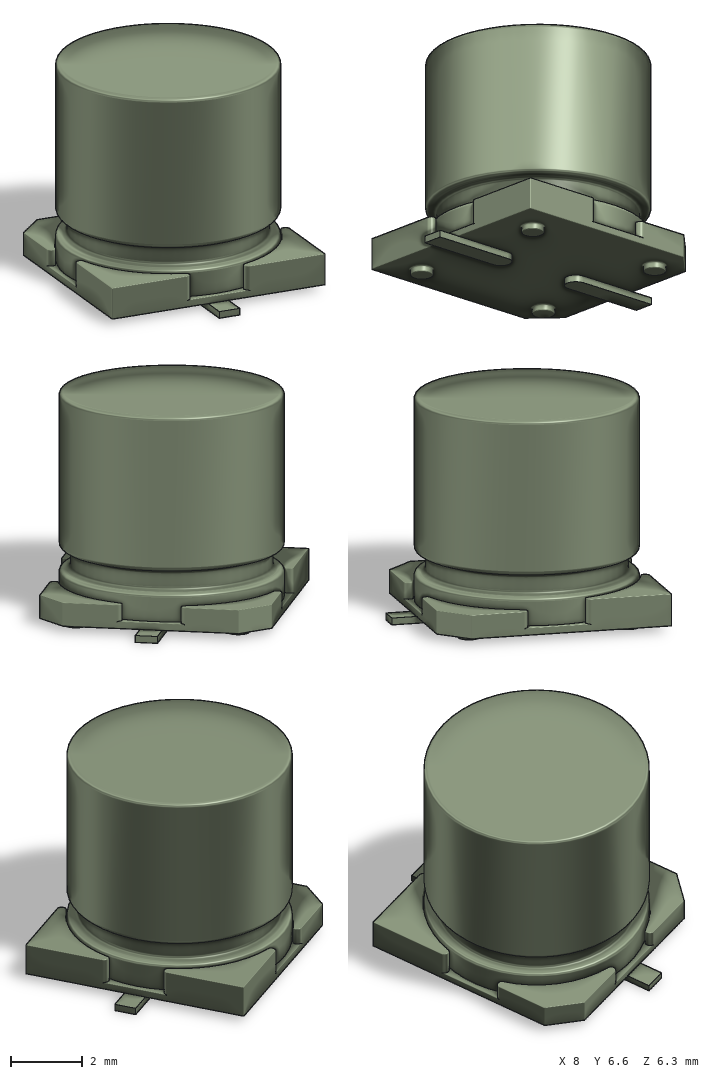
import cadquery as cq
import math

lead_span = 8.0
base_width = 6.6
total_height = 6.3

standoff = 0.2
lead_width = 0.63
lead_inner_end = 1.1
pin_diameter = 0.63
pin_offset = 2.3
pin_edge_round = 0.03
pin_root_round = 0.05

corner_chamfer = 0.8
slot_floor_height = 0.22
low_corner_height = 0.69
high_corner_height = 0.93
slot_width = 1.68
bore_radius = 3.18
tip_outer_round = 0.14
tip_inner_round = 0.1
base_edge_round = 0.02
tolerance = 0.001

can_diameter = 6.3
neck_diameter = 5.67
can_edge_round = 0.12
foot_top = 1.22
neck_height = 0.38

half_width = base_width / 2
can_radius = can_diameter / 2
neck_radius = neck_diameter / 2
neck_bottom = foot_top + can_edge_round


def base_outline(height):
    """Square block with both -X corners cut off and its side and bottom edges rounded."""
    block = cq.Workplane("XY").workplane(offset=standoff).rect(base_width, base_width).extrude(height)
    block = block.edges("|Z and <X").chamfer(corner_chamfer)
    return block.edges("not >Z").fillet(base_edge_round)


def tip_edges(x_side, y_side):
    """Upright edges of a corner wall that stand on its two slot faces."""
    upright = cq.selectors.ParallelDirSelector(cq.Vector(0, 0, 1))
    x_slot = cq.selectors.CenterNthSelector(cq.Vector(x_side, 0, 0), 0)
    y_slot = cq.selectors.CenterNthSelector(cq.Vector(0, y_side, 0), 0)
    return cq.selectors.AndSelector(upright, cq.selectors.SumSelector(x_slot, y_slot))


def is_on_bore(edge):
    """True for an upright edge on the can bore."""
    centre = edge.Center()
    return math.isclose(math.hypot(centre.x, centre.y), bore_radius, abs_tol=tolerance)


def is_on_outer_face(edge):
    """True for an upright edge on one of the four outer faces of the base."""
    centre = edge.Center()
    return math.isclose(max(abs(centre.x), abs(centre.y)), half_width, abs_tol=tolerance)


def corner_block(x_side, y_side, height):
    """One corner wall, cut by the can bore and by the slots on both sides of it."""
    block = base_outline(height)
    slot = slot_width / 2
    quadrant = (
        cq.Workplane("XY")
        .workplane(offset=standoff)
        .moveTo(x_side * slot, y_side * slot)
        .lineTo(x_side * half_width, y_side * slot)
        .lineTo(x_side * half_width, y_side * half_width)
        .lineTo(x_side * slot, y_side * half_width)
        .close()
        .extrude(height)
    )
    bore = cq.Workplane("XY").circle(bore_radius).extrude(total_height)
    block = block.intersect(quadrant).cut(bore)
    inner_tips = block.edges(tip_edges(x_side, y_side)).filter(is_on_bore)
    block = inner_tips.fillet(tip_inner_round)
    outer_tips = block.edges(tip_edges(x_side, y_side)).filter(is_on_outer_face)
    block = outer_tips.fillet(tip_outer_round)
    return block.faces(">Z").edges().fillet(base_edge_round)


def make_base():
    """Thin plate carrying four corner walls: low ones at -X, high ones at +X."""
    base = base_outline(slot_floor_height).faces(">Z").edges().fillet(base_edge_round)
    for x_side, height in ((-1, low_corner_height), (1, high_corner_height)):
        for y_side in (-1, 1):
            base = base.union(corner_block(x_side, y_side, height))
    return base


def make_can():
    """Revolved can with a necked groove just above the base."""
    r = can_edge_round
    neck_top = neck_bottom + neck_height
    body_bottom = neck_top + r
    arc_mid = r * (1 - math.sqrt(0.5))
    profile = (
        cq.Workplane("XZ")
        .moveTo(0, standoff)
        .lineTo(can_radius, standoff)
        .lineTo(can_radius, foot_top - r)
        .threePointArc((can_radius - arc_mid, foot_top - arc_mid), (can_radius - r, foot_top))
        .lineTo(neck_radius + r, foot_top)
        .threePointArc((neck_radius + arc_mid, neck_bottom - r + arc_mid), (neck_radius, neck_bottom))
        .lineTo(neck_radius, neck_top)
        .threePointArc((neck_radius + arc_mid, body_bottom - arc_mid), (neck_radius + r, body_bottom))
        .lineTo(can_radius - r, body_bottom)
        .threePointArc((can_radius - arc_mid, body_bottom + arc_mid), (can_radius, body_bottom + r))
        .lineTo(can_radius, total_height - r)
        .threePointArc((can_radius - arc_mid, total_height - arc_mid), (can_radius - r, total_height))
        .lineTo(0, total_height)
        .close()
    )
    return profile.revolve(360, (0, 0, 0), (0, 1, 0))


def make_lead(side):
    """Flat lead along X with a round inner end under the base."""
    end_radius = lead_width / 2
    end_centre = lead_inner_end + end_radius
    length = lead_span / 2 - end_centre
    strip_centre = side * (end_centre + length / 2)
    strip = cq.Workplane("XY").center(strip_centre, 0).rect(length, lead_width).extrude(standoff)
    round_end = cq.Workplane("XY").center(side * end_centre, 0).circle(end_radius).extrude(standoff)
    return strip.union(round_end)


def make_pin(x, y):
    """Round standoff with a rounded foot and a hollow fillet flaring out at its root."""
    radius = pin_diameter / 2
    pin = cq.Workplane("XY").center(x, y).circle(radius).extrude(standoff)
    pin = pin.faces("<Z").edges().fillet(pin_edge_round)
    root = (
        cq.Workplane("XZ")
        .moveTo(0, standoff)
        .lineTo(radius + pin_root_round, standoff)
        .radiusArc((radius, standoff - pin_root_round), -pin_root_round)
        .lineTo(0, standoff - pin_root_round)
        .close()
        .revolve(360, (0, 0, 0), (0, 1, 0))
        .translate((x, y, 0))
    )
    return pin.union(root)


result = make_base().union(make_can())
for side in (-1, 1):
    result = result.union(make_lead(side))
    for pin_y in (-pin_offset, pin_offset):
        result = result.union(make_pin(side * pin_offset, pin_y))